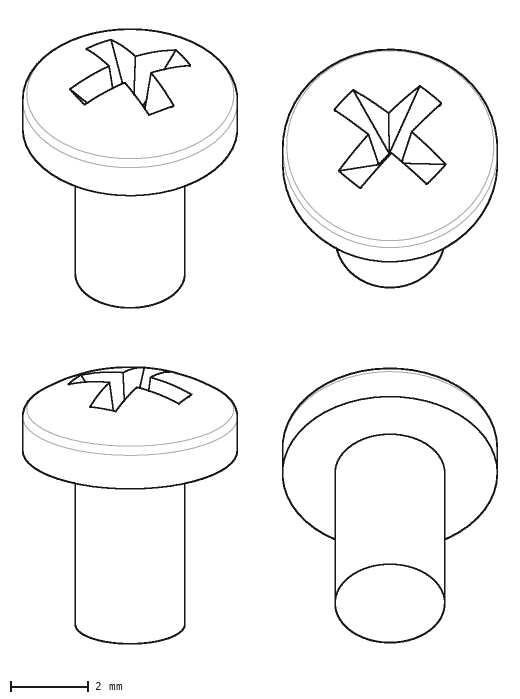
import cadquery as cq

shank_radius = 1.42
head_radius = 2.78
head_underside = 4.805
rim_bottom = 5.74
rim_top = 5.955
dome_edge_radius = 2.68
dome_apex = 6.795

recess_depth = 2.035
recess_top = dome_apex
recess_floor = recess_top - recess_depth
slot_length = 3.65
slot_width = 0.8
floor_side = 0.41

dome_rise = dome_apex - rim_top
dome_radius = (dome_edge_radius**2 + dome_rise**2) / (2 * dome_rise)
dome_center = dome_apex - dome_radius
dome_mid_radius = dome_edge_radius / 2
dome_mid_height = dome_center + (dome_radius**2 - dome_mid_radius**2) ** 0.5


def make_screw_blank():
    """Revolve the half section of the shank and the domed head."""
    return (
        cq.Workplane("XZ")
        .lineTo(shank_radius, 0)
        .lineTo(shank_radius, head_underside)
        .lineTo(head_radius, head_underside)
        .lineTo(head_radius, rim_bottom)
        .tangentArcPoint((dome_edge_radius, rim_top), relative=False)
        .threePointArc((dome_mid_radius, dome_mid_height), (0, dome_apex))
        .close()
        .revolve(360, (0, 0, 0), (0, 1, 0))
    )


def make_slot(angle):
    """Tapered slot through the screw axis, turned by angle about Z."""
    slot = (
        cq.Workplane("XY")
        .workplane(offset=recess_floor)
        .rect(floor_side, floor_side)
        .workplane(offset=recess_depth)
        .rect(slot_length, slot_width)
        .loft(ruled=True)
    )
    return slot.rotate((0, 0, 0), (0, 0, 1), angle)


result = make_screw_blank()
for slot_angle in (0, 90):
    result = result.cut(make_slot(slot_angle))